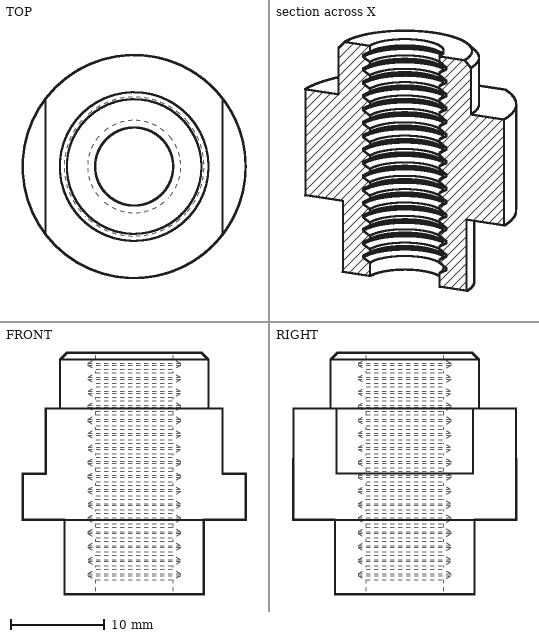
import cadquery as cq
import math

total_height = 26.0
spigot_diameter = 15.0
spigot_height = 8.0
collar_diameter = 24.0
boss_diameter = 16.0
boss_height = 6.0
boss_chamfer = 0.75
collar_height = total_height - spigot_height - boss_height
collar_top = spigot_height + collar_height

across_flats = 19.0
flat_height = 7.0

bore_diameter = 8.37
thread_pitch = 1.5
groove_opening = 0.75 * thread_pitch
groove_depth = 0.8
flank_angle = 30.0
end_land = 0.7
groove_count = 1 + math.floor((total_height - 2 * end_land - groove_opening) / thread_pitch)


def cylinder(diameter, height, base):
    """Cylinder on the Z axis, standing at the given base height."""
    return cq.Workplane("XY").workplane(offset=base).circle(diameter / 2).extrude(height)


def wrench_flat_cutter():
    """Two blocks that leave the across-flats width between them."""
    collar_radius = collar_diameter / 2
    block_centers = [(side * (across_flats / 2 + collar_radius / 2), 0) for side in (-1, 1)]
    return (
        cq.Workplane("XY")
        .workplane(offset=collar_top - flat_height)
        .pushPoints(block_centers)
        .rect(collar_radius, collar_diameter)
        .extrude(flat_height)
    )


def threaded_bore_cutter():
    """Through bore and its ring grooves, revolved as one profile."""
    bore_radius = bore_diameter / 2
    root_radius = bore_radius + groove_depth
    flank_rise = groove_depth * math.tan(math.radians(flank_angle))
    profile = cq.Workplane("XZ").moveTo(0, total_height).lineTo(bore_radius, total_height)
    for index in range(groove_count):
        groove_top = total_height - end_land - index * thread_pitch
        groove_bottom = groove_top - groove_opening
        profile = (
            profile.lineTo(bore_radius, groove_top)
            .lineTo(root_radius, groove_top - flank_rise)
            .lineTo(root_radius, groove_bottom + flank_rise)
            .lineTo(bore_radius, groove_bottom)
        )
    profile = profile.lineTo(bore_radius, 0).lineTo(0, 0).close()
    return profile.revolve(360, (0, 0, 0), (0, 1, 0))


spigot = cylinder(spigot_diameter, spigot_height, 0)
collar = cylinder(collar_diameter, collar_height, spigot_height).cut(wrench_flat_cutter())
boss = cylinder(boss_diameter, boss_height, collar_top).faces(">Z").edges().chamfer(boss_chamfer)

result = spigot.union(collar).union(boss).cut(threaded_bore_cutter())